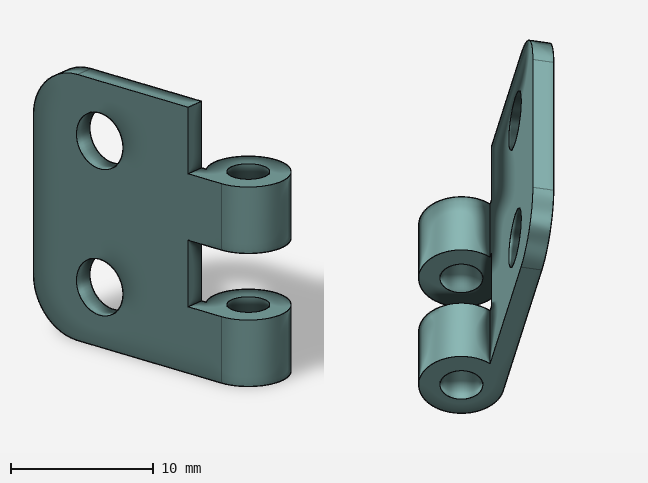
import cadquery as cq

height = 20.0
leaf_width = 14.0
thickness = 1.5
corner_radius = 4.0
screw_hole_diameter = 4.2
screw_hole_x = 6.0
screw_hole_spacing = 11.0
pin_diameter = 3.0
knuckle_count = 2

knuckle_radius = pin_diameter / 2 + thickness
pin_x = leaf_width + knuckle_radius
pin_y = knuckle_radius
knuckle_length = height / (2 * knuckle_count)


def make_leaf():
    """Flat plate with two rounded free corners and two screw holes."""
    leaf = cq.Workplane("XY").box(leaf_width, thickness, height, centered=False)
    leaf = leaf.edges("|Y and <X").fillet(corner_radius)
    hole_offset = screw_hole_spacing / 2
    holes = (
        cq.Workplane("XZ")
        .pushPoints([(screw_hole_x, height / 2 + side * hole_offset) for side in (-1, 1)])
        .circle(screw_hole_diameter / 2)
        .extrude(-thickness)
    )
    return leaf.cut(holes)


def make_knuckle(bottom):
    """Pin barrel joined to the leaf by a tangent web, starting at height bottom."""
    base = cq.Workplane("XY", origin=(0, 0, bottom))
    barrel = base.center(pin_x, pin_y).circle(knuckle_radius).extrude(knuckle_length)
    web = (
        base.center(leaf_width, 0)
        .rect(pin_x - leaf_width, thickness, centered=False)
        .extrude(knuckle_length)
    )
    bore = base.center(pin_x, pin_y).circle(pin_diameter / 2).extrude(knuckle_length)
    return barrel.union(web).cut(bore)


result = make_leaf()
for index in range(knuckle_count):
    result = result.union(make_knuckle(2 * index * knuckle_length))